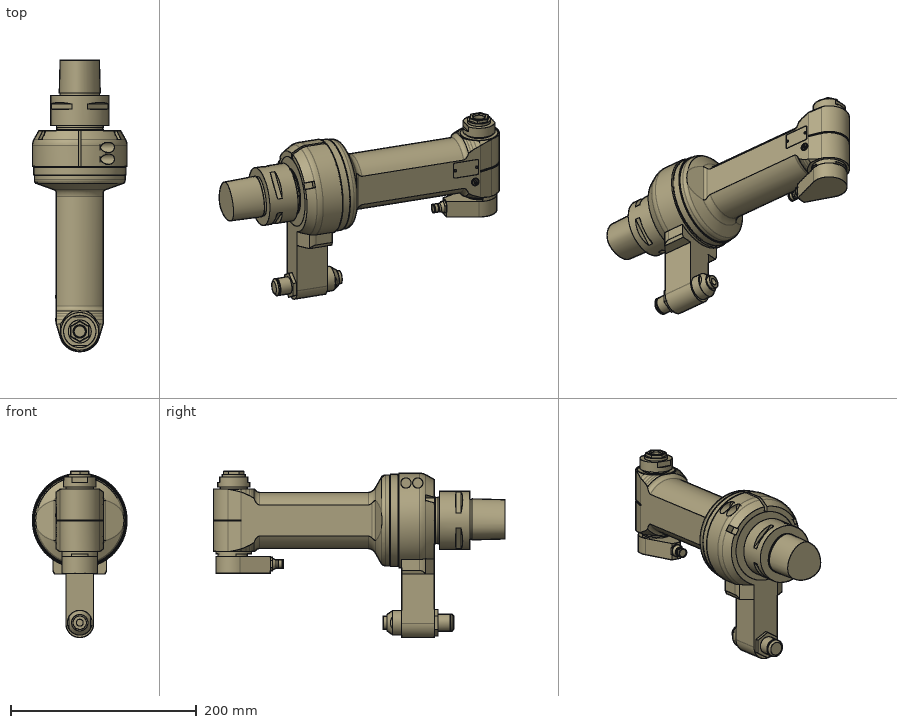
import cadquery as cq
import math


SHANK_LENGTH = 38.0
SHANK_MEAN_DIA = 44.4
SHANK_LOBE = 1.2
SHANK_TAPER = 1 / 20
SHANK_RELIEF_LENGTH = 2.5
SHANK_RELIEF_DEPTH = 0.7
FLANGE_RADIUS = 31.5
FLANGE_LENGTH = 32.7
GRIP_FLAT_RADIUS = 27.3
GRIP_TOP, GRIP_FLOOR_TOP = -7.6, -9.5
GRIP_FLOOR_BOTTOM, GRIP_BOTTOM = -14.7, -15.4
NECK_RADIUS = 25.3
NECK_GROOVE_DEPTH = 0.5
NECK_GROOVE_TOP, NECK_GROOVE_BOTTOM = -34.4, -36.7

COLLAR_TOP, COLLAR_BOTTOM = -38.0, -76.4
COLLAR_RADIUS = 51.0
COLLAR_MOUTH_RADIUS = 44.0
CONE_END_RADIUS, CONE_END_Y = 49.4, -47.5
ROUND_MID_RADIUS, ROUND_MID_Y = 50.55, -50.6
ROUND_END_Y = -54.0
HUB_RADIUS = 38.0
SLIT_WIDTH = 3.2
NOTCH_WIDTH = 7.0
NOTCH_FLOOR_RADIUS = 42.0
NOTCH_ANGLE = 60.0
SCREW_HOLE_DIA = 11.0
SCREW_SEAT_X, SCREW_Z = 22.0, 40.3
SCREW_YS = (-56.0, -68.7)

ARM_BOTTOM_Y = -73.3
LUG_HALF_WIDTH = 29.0
LUG_BOTTOM_Z = -57.8
LUG_CHAMFER_X, LUG_CHAMFER_Z = 1.8, 4.0
ARM_END_RADIUS = 15.0
ARM_END_Z = -126.0
PIN_Z = -110.0
PIN_RADIUS = 9.3
PIN_TIP_RADIUS = 7.0
PIN_TIP_Y = -17.1
PIN_TIP_LENGTH = 2.0
PIN_GROOVE_DEPTH = 0.4
PIN_GROOVE_TOP, PIN_GROOVE_BOTTOM = -20.6, -21.4
PIN_NUT_CORNERS = 28.6
PIN_NUT_TOP = -34.1
CAP_RADIUS = 13.3
CAP_CYLINDER_END, CAP_CONE_END, CAP_END = -83.0, -89.3, -93.2
CAP_CONE_END_RADIUS = 8.8
CAP_NOSE_RADIUS = 7.2
CAP_FLAT_X = 11.5
CAP_HOLE_DIA = 7.5
CAP_HOLE_DEPTH = 5.0

RELIEF_RADIUS = 48.5
RING1_RADIUS, RING1_TOP, RING1_BOTTOM = 49.8, -77.5, -85.6
RING2_RADIUS, RING2_TOP, RING2_BOTTOM = 49.0, -86.2, -90.5
CONE_TOP_RADIUS, CONE_TOP_Y = 47.0, -95.0
CONE_FOOT_RADIUS, CONE_FOOT_Y = 35.4, -101.5
FLARE_MID_RADIUS, FLARE_MID_Y = 31.8, -104.8
TUBE_RADIUS = 30.3
TUBE_TOP_Y = -109.0
FLAT_X = 25.3
FLAT_TOP_Y = -105.0
SLOPE_INNER_X, SLOPE_INNER_Y = 27.9, -101.6
SLOPE_OUTER_X, SLOPE_OUTER_Y = 47.4, -94.6
SLOPE_MID_X, SLOPE_MID_Y = 26.0, -102.9

HEAD_AXIS_Y = -254.0
HEAD_END_RADIUS = 21.92
HEAD_TOP_Z, HEAD_BOTTOM_Z = 34.0, -33.2
HEAD_ROUND_RADIUS = 39.7
HEAD_TAPER_Y = -246.0
TUBE_END_Y = -226.5
SWELL_POINTS = (
    (34.6, -232.0),
    (35.8, -234.5),
    (36.9, -237.3),
    (38.1, -241.0),
    (HEAD_ROUND_RADIUS, HEAD_TAPER_Y),
)
SWELL_ARC_RADIUS, SWELL_ARC_Y = 31.8, -229.9
HEAD_GROOVE_WIDTH, HEAD_GROOVE_DEPTH = 1.4, 0.5
FACE_RECESS_RADIUS, FACE_RECESS_DEPTH = 20.3, 0.5

CHUCK_NECK_RADIUS = 14.7
NUT_RADIUS, NUT_BOTTOM_Z, NUT_TOP_Z = 17.4, 35.8, 46.8
NUT_FLAT_Y, NUT_FLAT_Z = 15.3, 41.0
CHUCK_STEP_RADIUS, CHUCK_STEP_TOP_Z = 12.4, 49.6
CHUCK_HEX_CORNERS, CHUCK_TOP_Z = 22.4, 53.0
CHUCK_HEX_CHAMFER = 0.5
CHUCK_BORE_DIA, CHUCK_BORE_DEPTH = 12.0, 8.0
CHUCK_BORE_CHAMFER = 1.2

PLATE_RADIUS, PLATE_BOTTOM_Z = 19.2, -35.9
LOWER_NECK_RADIUS = 14.8
LEVER_TOP_Z, LEVER_BOTTOM_Z = -38.7, -57.0
LEVER_RADIUS = 19.3
LEVER_TANGENT_Y = -247.0
LEVER_END_Y = -214.6
SPACER_START_Y = -251.4
SPACER_NOTCH_WIDTH = 18.0
FITTING_Z = -46.9
FITTING_NUT_CORNERS = 14.8
FITTING_NUT_END, FITTING_CONE_END, FITTING_END = -212.3, -208.7, -200.7
FITTING_TUBE_RADIUS = 4.7
FITTING_GROOVE_WIDTH, FITTING_GROOVE_DEPTH = 0.8, 0.5
FITTING_GROOVE_YS = (-206.5, -202.0)

NAMEPLATE_LENGTH, NAMEPLATE_HEIGHT, NAMEPLATE_DEPTH = 28.6, 17.8, 0.3
NAMEPLATE_Y, NAMEPLATE_Z = -229.1, 5.8
NAMEPLATE_CORNER = 1.5
NAMEPLATE_SCREW_DIA, NAMEPLATE_SCREW_HEIGHT = 2.6, 0.6
NAMEPLATE_SCREW_SPACING = 24.9
PLUG_Y, PLUG_Z = -240.0, -11.6
PLUG_DIA, PLUG_CORE_DIA, PLUG_KEY_DIA = 8.5, 7.0, 3.0
PLUG_GROOVE_DEPTH, PLUG_KEY_DEPTH = 1.0, 2.0


def y_cylinder(radius, start, end, z=0.0):
    """Cylinder along Y between two Y positions."""
    return cq.Workplane("XZ", origin=(0, end, z)).circle(radius).extrude(end - start)


def y_cone(radius_start, start, radius_end, end, z=0.0):
    """Cone frustum along Y."""
    outline = [(0, start), (radius_start, start), (radius_end, end), (0, end)]
    return spin(cq.Workplane("XY").polyline(outline)).translate((0, 0, z))


def y_ring(outer, inner, start, end, z=0.0):
    return y_cylinder(outer, start, end, z=z).cut(y_cylinder(inner, start, end, z=z))


def y_hexagon(corners, start, end, z):
    """Hexagonal prism along Y with corners pointing up and down."""
    prism = cq.Workplane("XY").polygon(6, corners).extrude(abs(end - start))
    upright = prism.rotate((0, 0, 0), (0, 0, 1), 30).rotate((0, 0, 0), (1, 0, 0), -90)
    return upright.translate((0, min(start, end), z))


def z_cylinder(radius, start, end):
    """Cylinder along the head axis between two Z positions."""
    return cq.Workplane("XY", origin=(0, HEAD_AXIS_Y, start)).circle(radius).extrude(end - start)


def spin(wire):
    """Close an open radius-against-Y outline and revolve it about the Y axis."""
    return wire.close().revolve(360, (0, 0, 0), (0, 1, 0))


def box(x0, x1, y0, y1, z0, z1):
    return cq.Workplane("XY").box(x1 - x0, y1 - y0, z1 - z0, centered=False).translate((x0, y0, z0))


def lobed_section(mean_dia):
    """Point formula of a three-lobed curve of constant width, one lobe toward the plane's +Y."""
    def point(turn):
        angle = 2 * math.pi * turn
        support = mean_dia / 2 - SHANK_LOBE * math.sin(3 * angle)
        slope = -3 * SHANK_LOBE * math.cos(3 * angle)
        x = support * math.cos(angle) - slope * math.sin(angle)
        y = support * math.sin(angle) + slope * math.cos(angle)
        return (x, y)
    return point


def lobed_prism(start, start_dia, end, end_dia):
    return (
        cq.Workplane("XZ", origin=(0, start, 0)).parametricCurve(lobed_section(start_dia))
        .workplane(offset=start - end).parametricCurve(lobed_section(end_dia))
        .loft(ruled=True)
    )


def make_shank():
    end_dia = SHANK_MEAN_DIA - SHANK_LENGTH * SHANK_TAPER
    relief_dia = SHANK_MEAN_DIA - 2 * SHANK_RELIEF_DEPTH
    body = y_cylinder(FLANGE_RADIUS, -FLANGE_LENGTH, 0)
    body = body.union(y_cylinder(NECK_RADIUS, COLLAR_TOP, -FLANGE_LENGTH))
    body = body.union(lobed_prism(0, relief_dia, SHANK_RELIEF_LENGTH, relief_dia))
    body = body.union(lobed_prism(SHANK_RELIEF_LENGTH, SHANK_MEAN_DIA, SHANK_LENGTH, end_dia))

    outline = [
        (GRIP_FLAT_RADIUS, GRIP_FLOOR_TOP),
        (FLANGE_RADIUS, GRIP_TOP),
        (FLANGE_RADIUS, GRIP_BOTTOM),
        (GRIP_FLAT_RADIUS, GRIP_FLOOR_BOTTOM),
    ]
    slot = cq.Workplane("XY").polyline(outline).close().extrude(FLANGE_RADIUS, both=True)
    for quarter in range(4):
        body = body.cut(slot.rotate((0, 0, 0), (0, 1, 0), 45 + 90 * quarter))
    return body.cut(y_ring(NECK_RADIUS, NECK_RADIUS - NECK_GROOVE_DEPTH, NECK_GROOVE_BOTTOM, NECK_GROOVE_TOP))


def make_collar_ring():
    return spin(
        cq.Workplane("XY").moveTo(0, COLLAR_BOTTOM)
        .lineTo(COLLAR_RADIUS, COLLAR_BOTTOM)
        .lineTo(COLLAR_RADIUS, ROUND_END_Y)
        .threePointArc((ROUND_MID_RADIUS, ROUND_MID_Y), (CONE_END_RADIUS, CONE_END_Y))
        .lineTo(COLLAR_MOUTH_RADIUS, COLLAR_TOP)
        .lineTo(0, COLLAR_TOP)
    )


def make_lug():
    """Block under the collar; its sides follow the collar's rounding and then close in on the arm."""
    inset = COLLAR_RADIUS - LUG_HALF_WIDTH
    lug = (
        cq.Workplane("XY", origin=(0, 0, LUG_BOTTOM_Z)).moveTo(0, ARM_BOTTOM_Y)
        .lineTo(LUG_HALF_WIDTH, ARM_BOTTOM_Y)
        .lineTo(LUG_HALF_WIDTH, ROUND_END_Y)
        .threePointArc((ROUND_MID_RADIUS - inset, ROUND_MID_Y), (CONE_END_RADIUS - inset, CONE_END_Y))
        .lineTo(ARM_END_RADIUS, COLLAR_TOP)
        .lineTo(0, COLLAR_TOP)
        .mirrorY().extrude(-LUG_BOTTOM_Z)
    )
    chamfered_front = (
        cq.Workplane("XZ", origin=(0, COLLAR_TOP, 0))
        .moveTo(LUG_HALF_WIDTH, 0)
        .lineTo(LUG_HALF_WIDTH, LUG_BOTTOM_Z + LUG_CHAMFER_Z)
        .lineTo(LUG_HALF_WIDTH - LUG_CHAMFER_X, LUG_BOTTOM_Z)
        .lineTo(LUG_CHAMFER_X - LUG_HALF_WIDTH, LUG_BOTTOM_Z)
        .lineTo(-LUG_HALF_WIDTH, LUG_BOTTOM_Z + LUG_CHAMFER_Z)
        .lineTo(-LUG_HALF_WIDTH, 0)
        .close().extrude(COLLAR_TOP - ARM_BOTTOM_Y)
    )
    return lug.intersect(chamfered_front)


def make_arm():
    end_centre_z = ARM_END_Z + ARM_END_RADIUS
    arm = box(-ARM_END_RADIUS, ARM_END_RADIUS, ARM_BOTTOM_Y, COLLAR_TOP, end_centre_z, LUG_BOTTOM_Z)
    return arm.union(y_cylinder(ARM_END_RADIUS, ARM_BOTTOM_Y, COLLAR_TOP, z=end_centre_z))


def make_locating_pin():
    """Pin, hexagon nut and hose cap that sit on the arm's end."""
    tip_base = PIN_TIP_Y - PIN_TIP_LENGTH
    pin = y_cylinder(PIN_RADIUS, COLLAR_TOP, tip_base, z=PIN_Z)
    pin = pin.union(y_cone(PIN_RADIUS, tip_base, PIN_TIP_RADIUS, PIN_TIP_Y, z=PIN_Z))
    pin = pin.cut(
        y_ring(PIN_RADIUS, PIN_RADIUS - PIN_GROOVE_DEPTH, PIN_GROOVE_BOTTOM, PIN_GROOVE_TOP, z=PIN_Z)
    )
    pin = pin.union(y_hexagon(PIN_NUT_CORNERS, COLLAR_TOP, PIN_NUT_TOP, PIN_Z))

    cap = y_cylinder(CAP_RADIUS, CAP_CYLINDER_END, ARM_BOTTOM_Y, z=PIN_Z)
    nose = y_cone(CAP_RADIUS, CAP_CYLINDER_END, CAP_CONE_END_RADIUS, CAP_CONE_END, z=PIN_Z)
    flats = box(-CAP_FLAT_X, CAP_FLAT_X, CAP_END, CAP_CYLINDER_END, PIN_Z - CAP_RADIUS, PIN_Z + CAP_RADIUS)
    cap = cap.union(nose.intersect(flats))
    cap = cap.union(y_cylinder(CAP_NOSE_RADIUS, CAP_END, CAP_CONE_END, z=PIN_Z))
    cap = cap.cut(y_cylinder(CAP_HOLE_DIA / 2, CAP_END, CAP_END + CAP_HOLE_DEPTH, z=PIN_Z))
    return pin, cap


def make_collar():
    body = make_collar_ring().union(make_lug()).union(make_arm())
    for part in make_locating_pin():
        body = body.union(part)
    body = body.cut(y_cylinder(HUB_RADIUS, COLLAR_BOTTOM, COLLAR_TOP))

    body = body.cut(
        box(-SLIT_WIDTH / 2, SLIT_WIDTH / 2, COLLAR_BOTTOM, COLLAR_TOP, HUB_RADIUS / 2, COLLAR_RADIUS)
    )
    notch = box(
        -NOTCH_WIDTH / 2, NOTCH_WIDTH / 2, CONE_END_Y, COLLAR_TOP, NOTCH_FLOOR_RADIUS, COLLAR_RADIUS
    )
    for side in (-1, 1):
        body = body.cut(notch.rotate((0, 0, 0), (0, 1, 0), side * NOTCH_ANGLE))
    for y in SCREW_YS:
        seat = cq.Workplane("YZ", origin=(SCREW_SEAT_X, y, SCREW_Z)).circle(SCREW_HOLE_DIA / 2)
        body = body.cut(seat.extrude(COLLAR_RADIUS - SCREW_SEAT_X))
    return body


def make_housing_shell():
    """Hub, rings, cone, tube and swollen head as one turned shape."""
    outline = (
        cq.Workplane("XY").moveTo(0, COLLAR_TOP)
        .lineTo(HUB_RADIUS, COLLAR_TOP)
        .lineTo(HUB_RADIUS, COLLAR_BOTTOM)
        .lineTo(RELIEF_RADIUS, COLLAR_BOTTOM)
        .lineTo(RELIEF_RADIUS, RING1_TOP)
        .lineTo(RING1_RADIUS, RING1_TOP)
        .lineTo(RING1_RADIUS, RING1_BOTTOM)
        .lineTo(RELIEF_RADIUS, RING1_BOTTOM)
        .lineTo(RELIEF_RADIUS, RING2_TOP)
        .lineTo(RING2_RADIUS, RING2_TOP)
        .lineTo(RING2_RADIUS, RING2_BOTTOM)
        .tangentArcPoint((CONE_TOP_RADIUS, CONE_TOP_Y), relative=False)
        .lineTo(CONE_FOOT_RADIUS, CONE_FOOT_Y)
        .threePointArc((FLARE_MID_RADIUS, FLARE_MID_Y), (TUBE_RADIUS, TUBE_TOP_Y))
        .lineTo(TUBE_RADIUS, TUBE_END_Y)
        .threePointArc((SWELL_ARC_RADIUS, SWELL_ARC_Y), SWELL_POINTS[0])
    )
    for radius, y in SWELL_POINTS[1:]:
        outline = outline.lineTo(radius, y)
    head_end = HEAD_AXIS_Y - HEAD_END_RADIUS
    return spin(outline.lineTo(HEAD_ROUND_RADIUS, head_end).lineTo(0, head_end))


def make_side_cut():
    """Material to remove outside the +X flat, including the sloping face on the cone."""
    slope = (SLOPE_OUTER_Y - SLOPE_INNER_Y) / (SLOPE_OUTER_X - SLOPE_INNER_X)
    far_x = COLLAR_RADIUS
    far_y = SLOPE_OUTER_Y + slope * (far_x - SLOPE_OUTER_X)
    end_y = HEAD_AXIS_Y - HEAD_ROUND_RADIUS
    return (
        cq.Workplane("XY").moveTo(FLAT_X, end_y)
        .lineTo(FLAT_X, FLAT_TOP_Y)
        .threePointArc((SLOPE_MID_X, SLOPE_MID_Y), (SLOPE_INNER_X, SLOPE_INNER_Y))
        .lineTo(far_x, far_y)
        .lineTo(far_x, end_y)
        .close().extrude(COLLAR_RADIUS, both=True)
    )


def head_plan(inset, height):
    """Head outline in plan: straight sides closing onto a round end, moved in by inset."""
    radius = HEAD_END_RADIUS - inset
    half_width = FLAT_X - inset
    rise = HEAD_TAPER_Y - HEAD_AXIS_Y
    reach = math.hypot(half_width, rise)
    tangent_angle = math.atan2(rise, half_width) - math.acos(radius / reach)
    tangent_x = radius * math.cos(tangent_angle)
    tangent_y = HEAD_AXIS_Y + radius * math.sin(tangent_angle)
    return (
        cq.Workplane("XY").moveTo(half_width, COLLAR_TOP)
        .lineTo(half_width, HEAD_TAPER_Y)
        .lineTo(tangent_x, tangent_y)
        .threePointArc((0, HEAD_AXIS_Y - radius), (-tangent_x, tangent_y))
        .lineTo(-half_width, HEAD_TAPER_Y)
        .lineTo(-half_width, COLLAR_TOP)
        .close().extrude(height / 2, both=True)
    )


def make_chuck():
    """Collet chuck standing on the head: neck, nut with two flats and hexagon with a bore."""
    chuck = z_cylinder(CHUCK_NECK_RADIUS, HEAD_TOP_Z - FACE_RECESS_DEPTH, NUT_BOTTOM_Z)
    nut = z_cylinder(NUT_RADIUS, NUT_BOTTOM_Z, NUT_TOP_Z)
    for side in (-1, 1):
        near = HEAD_AXIS_Y + side * NUT_FLAT_Y
        far = HEAD_AXIS_Y + side * NUT_RADIUS
        nut = nut.cut(
            box(-NUT_RADIUS, NUT_RADIUS, min(near, far), max(near, far), NUT_FLAT_Z, NUT_TOP_Z)
        )
    step = z_cylinder(CHUCK_STEP_RADIUS, NUT_TOP_Z, CHUCK_STEP_TOP_Z)
    hexagon = (
        cq.Workplane("XY").polygon(6, CHUCK_HEX_CORNERS)
        .extrude(CHUCK_TOP_Z - CHUCK_STEP_TOP_Z)
        .rotate((0, 0, 0), (0, 0, 1), 30)
        .translate((0, HEAD_AXIS_Y, CHUCK_STEP_TOP_Z))
        .faces(">Z").chamfer(CHUCK_HEX_CHAMFER)
    )
    bore = z_cylinder(CHUCK_BORE_DIA / 2, CHUCK_TOP_Z - CHUCK_BORE_DEPTH, CHUCK_TOP_Z)
    bore_mouth = (
        cq.Workplane("XY", origin=(0, HEAD_AXIS_Y, CHUCK_TOP_Z))
        .circle(CHUCK_BORE_DIA / 2 + CHUCK_BORE_CHAMFER)
        .workplane(offset=-CHUCK_BORE_CHAMFER)
        .circle(CHUCK_BORE_DIA / 2).loft()
    )
    return chuck.union(nut).union(step).union(hexagon).cut(bore).cut(bore_mouth)


def make_lever():
    """Coolant lever under the head with its bearing plate and neck."""
    plate = z_cylinder(PLATE_RADIUS, PLATE_BOTTOM_Z, HEAD_BOTTOM_Z)
    neck = z_cylinder(LOWER_NECK_RADIUS, LEVER_TOP_Z, PLATE_BOTTOM_Z)
    front_y = HEAD_AXIS_Y - PLATE_RADIUS
    half_notch = SPACER_NOTCH_WIDTH / 2
    spacer = z_cylinder(PLATE_RADIUS, LEVER_TOP_Z, PLATE_BOTTOM_Z)
    spacer = spacer.intersect(
        box(-PLATE_RADIUS, PLATE_RADIUS, front_y, SPACER_START_Y, LEVER_TOP_Z, PLATE_BOTTOM_Z)
    )
    spacer = spacer.cut(
        box(-half_notch, half_notch, front_y, HEAD_AXIS_Y, LEVER_TOP_Z, PLATE_BOTTOM_Z)
    )

    tangent_angle = math.asin((LEVER_TANGENT_Y - HEAD_AXIS_Y) / LEVER_RADIUS)
    tangent_x = LEVER_RADIUS * math.cos(tangent_angle)
    end_x = tangent_x - (LEVER_END_Y - LEVER_TANGENT_Y) * math.tan(tangent_angle)
    lever = (
        cq.Workplane("XY", origin=(0, 0, LEVER_BOTTOM_Z))
        .moveTo(end_x, LEVER_END_Y)
        .lineTo(tangent_x, LEVER_TANGENT_Y)
        .threePointArc((0, HEAD_AXIS_Y - LEVER_RADIUS), (-tangent_x, LEVER_TANGENT_Y))
        .lineTo(-end_x, LEVER_END_Y)
        .close().extrude(LEVER_TOP_Z - LEVER_BOTTOM_Z)
    )
    return plate.union(neck).union(spacer).union(lever)


def make_fitting():
    """Hose fitting on the lever's end."""
    fitting = y_hexagon(FITTING_NUT_CORNERS, LEVER_END_Y, FITTING_NUT_END, FITTING_Z)
    fitting = fitting.union(
        y_cone(FITTING_NUT_CORNERS / 2 * math.cos(math.pi / 6), FITTING_NUT_END,
               FITTING_TUBE_RADIUS, FITTING_CONE_END, z=FITTING_Z)
    )
    fitting = fitting.union(y_cylinder(FITTING_TUBE_RADIUS, FITTING_CONE_END, FITTING_END, z=FITTING_Z))
    floor_radius = FITTING_TUBE_RADIUS - FITTING_GROOVE_DEPTH
    for y in FITTING_GROOVE_YS:
        fitting = fitting.cut(
            y_ring(FITTING_TUBE_RADIUS, floor_radius, y, y + FITTING_GROOVE_WIDTH, z=FITTING_Z)
        )
    return fitting


def side_plane(y, z):
    """Workplane on the -X flat; its normal points toward -X and its local x runs along -Y."""
    return cq.Workplane(cq.Plane(origin=(-FLAT_X, y, z), xDir=(0, -1, 0), normal=(-1, 0, 0)))


def add_nameplate(body):
    """Shallow recess with rounded corners and two screw heads standing in it."""
    recess = side_plane(NAMEPLATE_Y, NAMEPLATE_Z).rect(NAMEPLATE_LENGTH, NAMEPLATE_HEIGHT)
    recess = recess.extrude(-NAMEPLATE_DEPTH).edges("|X").fillet(NAMEPLATE_CORNER)
    screws = (
        side_plane(NAMEPLATE_Y, NAMEPLATE_Z).workplane(offset=-NAMEPLATE_DEPTH)
        .rarray(NAMEPLATE_SCREW_SPACING, 1, 2, 1)
        .circle(NAMEPLATE_SCREW_DIA / 2).extrude(NAMEPLATE_DEPTH + NAMEPLATE_SCREW_HEIGHT)
    )
    return body.cut(recess).union(screws)


def cut_plug(body):
    """Plug outlined by a ring groove, with a central key hole."""
    ring = side_plane(PLUG_Y, PLUG_Z).circle(PLUG_DIA / 2).circle(PLUG_CORE_DIA / 2)
    key = side_plane(PLUG_Y, PLUG_Z).circle(PLUG_KEY_DIA / 2)
    return body.cut(ring.extrude(-PLUG_GROOVE_DEPTH)).cut(key.extrude(-PLUG_KEY_DEPTH))


def make_housing():
    body = make_housing_shell()
    side_cut = make_side_cut()
    body = body.cut(side_cut).cut(side_cut.mirror("YZ"))

    head_end = HEAD_AXIS_Y - HEAD_END_RADIUS
    head_space = box(-FLAT_X, FLAT_X, head_end, TUBE_END_Y, HEAD_BOTTOM_Z, HEAD_TOP_Z)
    head = body.intersect(head_space).intersect(head_plan(0, 2 * HEAD_ROUND_RADIUS))
    rear = body.intersect(
        box(-COLLAR_RADIUS, COLLAR_RADIUS, TUBE_END_Y, COLLAR_TOP, -COLLAR_RADIUS, COLLAR_RADIUS)
    )
    groove = head_plan(0, HEAD_GROOVE_WIDTH).cut(head_plan(HEAD_GROOVE_DEPTH, HEAD_GROOVE_WIDTH))
    groove = groove.intersect(
        box(-FLAT_X, FLAT_X, head_end, HEAD_TAPER_Y, -HEAD_GROOVE_WIDTH, HEAD_GROOVE_WIDTH)
    )
    head = head.cut(groove)
    head = head.cut(z_cylinder(FACE_RECESS_RADIUS, HEAD_TOP_Z - FACE_RECESS_DEPTH, HEAD_TOP_Z))

    body = rear.union(head).union(make_chuck()).union(make_lever()).union(make_fitting())
    return cut_plug(add_nameplate(body))


shank = make_shank()
collar = make_collar()
housing = make_housing()

result = cq.Compound.makeCompound([
    *shank.solids().vals(),
    *collar.solids().vals(),
    *housing.solids().vals(),
])